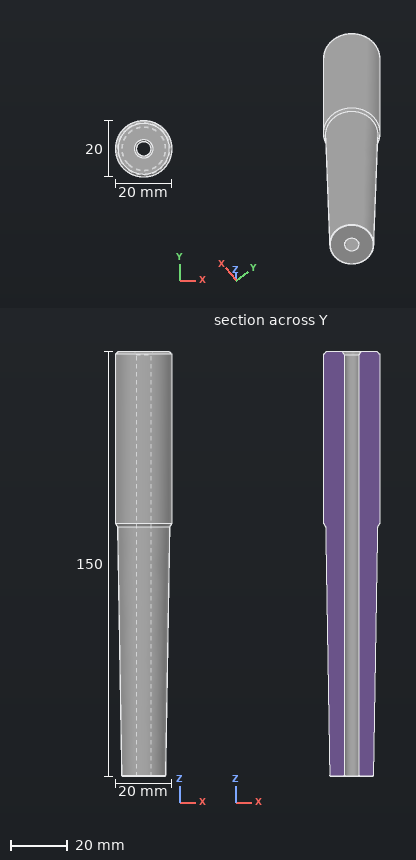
import cadquery as cq
import math

total_length = 150.0

neck_length = 88.0
neck_top_radius = 9.25
tip_radius = 7.78
tip_chamfer = 0.2

head_radius = 10.0
head_chamfer = 1.0

cone_angle = math.radians(30)

step_height = (head_radius - neck_top_radius) / math.tan(cone_angle)
head_bottom_z = neck_length + step_height

bore_radius = 2.5
mouth_radius = 3.25
mouth_depth = (mouth_radius - bore_radius) / math.tan(cone_angle)


def neck_radius_at(z):
    """Radius of the tapered neck at height z."""
    return tip_radius + (neck_top_radius - tip_radius) * z / neck_length


def revolve_about_z(profile):
    """Full revolution of (radius, z) points, started on the -X side."""
    points = [(-radius, z) for radius, z in profile]
    return cq.Workplane("XZ").polyline(points).close().revolve(360, (0, 0), (0, 1))


def make_body():
    """Solid of revolution: head, conical step and tapered neck."""
    profile = [
        (0, 0),
        (tip_radius - tip_chamfer, 0),
        (neck_radius_at(tip_chamfer), tip_chamfer),
        (neck_top_radius, neck_length),
        (head_radius, head_bottom_z),
        (head_radius, total_length - head_chamfer),
        (head_radius - head_chamfer, total_length),
        (0, total_length),
    ]
    return revolve_about_z(profile)


def make_bore():
    """Through bore with a countersunk mouth at the head end."""
    profile = [
        (0, 0),
        (bore_radius, 0),
        (bore_radius, total_length - mouth_depth),
        (mouth_radius, total_length),
        (0, total_length),
    ]
    return revolve_about_z(profile)


result = make_body().cut(make_bore())